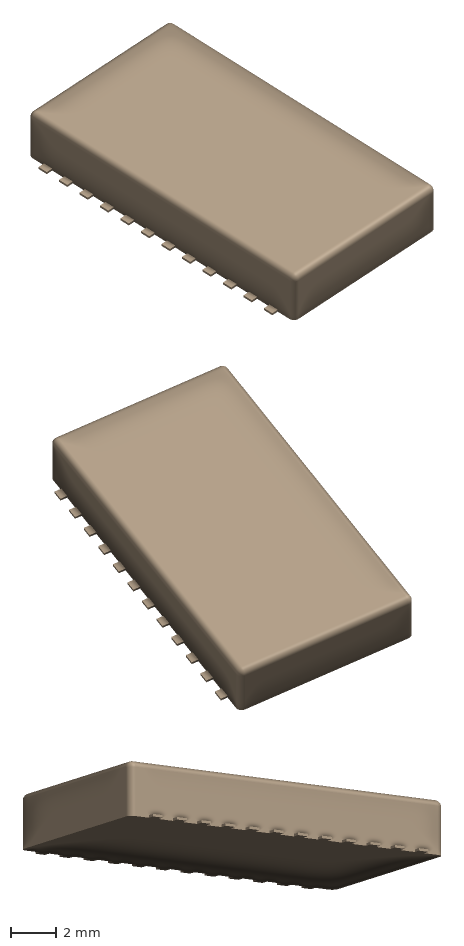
import cadquery as cq

body_length = 16.5
body_width = 9.01
total_width = 9.7
height = 2.52
edge_radius = 0.3

pins_per_row = 12
pin_pitch = 1.27
pin_width = 0.51
pin_thickness = 0.12


def make_body():
    """Block with rounded upright edges and a rounded top rim."""
    block = cq.Workplane("XY").box(body_length, body_width, height, centered=(True, True, False))
    return block.edges("|Z").fillet(edge_radius).faces(">Z").edges().fillet(edge_radius)


def make_pin_pair(x):
    """One strip across the underside, whose two ends are opposite terminals."""
    strip = cq.Workplane("XY").box(pin_width, total_width, pin_thickness, centered=(True, True, False))
    return strip.translate((x, 0, 0))


result = make_body()
for index in range(pins_per_row):
    pin_x = (index - (pins_per_row - 1) / 2) * pin_pitch
    result = result.union(make_pin_pair(pin_x))